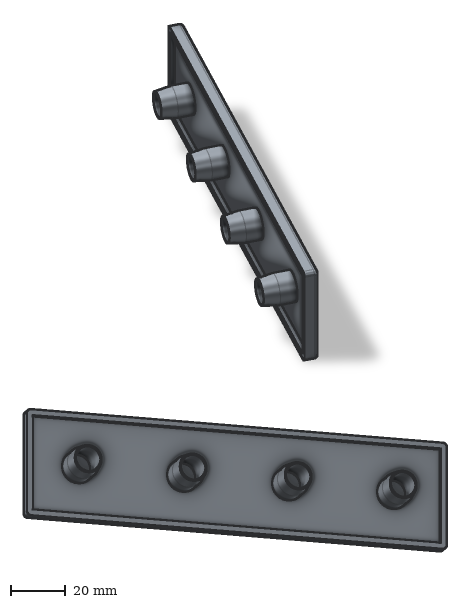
import cadquery as cq

length = 160.0
height = 40.0
total_depth = 16.2
plate_thickness = 5.5
edge_radius = 1.6

rim_width = 2.2
recess_depth = 2.0

peg_count = 4
peg_pitch = length / peg_count
peg_diameter = 12.0
tip_diameter = 10.2
bore_diameter = 9.3
straight_reach = 4.6
peg_reach = total_depth - plate_thickness


def make_plate():
    """Plate with rounded corners, a rounded back edge and a recessed front."""
    plate = (
        cq.Workplane("XY")
        .box(length, plate_thickness, height, centered=(True, False, True))
        .edges("|Y")
        .fillet(edge_radius)
        .faces(">Y")
        .edges()
        .fillet(edge_radius)
    )
    recess = cq.Workplane("XY").box(
        length - 2 * rim_width,
        recess_depth,
        height - 2 * rim_width,
        centered=(True, False, True),
    )
    return plate.cut(recess)


def make_peg():
    """Tube along Y: a straight root, a tapered tip and a bore down to the recess floor."""
    bore_radius = bore_diameter / 2
    peg_radius = peg_diameter / 2
    return (
        cq.Workplane("YZ")
        .moveTo(recess_depth, bore_radius)
        .lineTo(recess_depth, peg_radius)
        .lineTo(-straight_reach, peg_radius)
        .lineTo(-peg_reach, tip_diameter / 2)
        .lineTo(-peg_reach, bore_radius)
        .close()
        .revolve(360, (0, 0, 0), (1, 0, 0))
    )


result = make_plate()
peg = make_peg()
for index in range(peg_count):
    peg_x = (index - (peg_count - 1) / 2) * peg_pitch
    result = result.union(peg.translate((peg_x, 0, 0)))